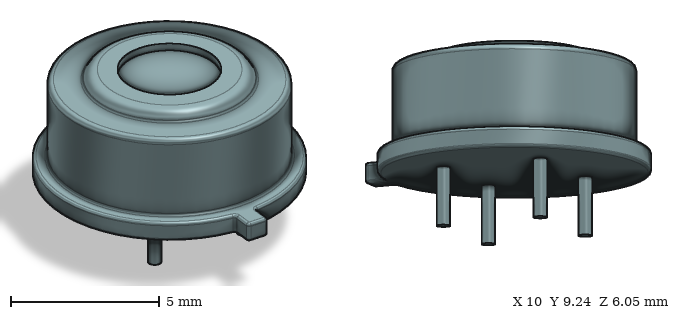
import cadquery as cq
import math

pin_length = 2.0
flange_thickness = 0.71
can_height = 2.95
cap_height = 0.39
flange_top = pin_length + flange_thickness
can_top = flange_top + can_height
cap_top = can_top + cap_height

flange_radius = 4.62
tab_width = 0.82
tab_reach = 10.0 - flange_radius
flange_edge_radius = 0.11
tab_root_radius = 0.1
tab_corner_radius = 0.12

can_radius = 4.12
can_top_radius = 0.2
can_base_radius = 0.09
cap_flat_radius = 2.44
cap_edge_radius = 0.5
cap_foot_radius = 0.09

window_radius = 1.75
window_depth = 0.27

pin_radius = 0.23
pin_offset = 1.8


def make_flange():
    """Round flange with a tab toward +X, rounded along both rims."""
    disc = cq.Workplane("XY").circle(flange_radius).extrude(flange_thickness)
    tab = (
        cq.Workplane("XY")
        .center(tab_reach / 2, 0)
        .rect(tab_reach, tab_width)
        .extrude(flange_thickness)
        .edges("|Z and >X")
        .fillet(tab_corner_radius)
    )
    tab_root_x = math.sqrt(flange_radius**2 - (tab_width / 2) ** 2)
    flange = disc.union(tab)
    for side in (-1, 1):
        root = cq.selectors.NearestToPointSelector(
            (tab_root_x, side * tab_width / 2, flange_thickness / 2)
        )
        flange = flange.edges("|Z").edges(root).fillet(tab_root_radius)
    flange = flange.faces("<Z or >Z").edges().fillet(flange_edge_radius)
    return flange.translate((0, 0, pin_length))


def make_can():
    """Revolved can: flared foot, rounded shoulder and raised, rounded cap."""
    edge_center_z = cap_top - cap_edge_radius
    foot_center_z = can_top + cap_foot_radius
    center_distance = cap_edge_radius + cap_foot_radius
    center_rise = foot_center_z - edge_center_z
    center_run = math.sqrt(center_distance**2 - center_rise**2)
    foot_outer_radius = cap_flat_radius + center_run
    meet_ratio = cap_edge_radius / center_distance
    meet_point = (
        cap_flat_radius + center_run * meet_ratio,
        edge_center_z + center_rise * meet_ratio,
    )
    return (
        cq.Workplane("XZ")
        .moveTo(0, pin_length + flange_thickness / 2)
        .lineTo(can_radius + can_base_radius, pin_length + flange_thickness / 2)
        .lineTo(can_radius + can_base_radius, flange_top)
        .radiusArc((can_radius, flange_top + can_base_radius), can_base_radius)
        .lineTo(can_radius, can_top - can_top_radius)
        .radiusArc((can_radius - can_top_radius, can_top), -can_top_radius)
        .lineTo(foot_outer_radius, can_top)
        .radiusArc(meet_point, cap_foot_radius)
        .radiusArc((cap_flat_radius, cap_top), -cap_edge_radius)
        .lineTo(0, cap_top)
        .close()
        .revolve(360, (0, 0, 0), (0, 1, 0))
    )


def make_window():
    """Shallow round recess sunk into the top of the cap."""
    return (
        cq.Workplane("XY")
        .workplane(offset=cap_top - window_depth)
        .circle(window_radius)
        .extrude(window_depth)
    )


def make_pins():
    """Four straight round pins below the flange."""
    return (
        cq.Workplane("XY")
        .rect(2 * pin_offset, 2 * pin_offset, forConstruction=True)
        .vertices()
        .circle(pin_radius)
        .extrude(pin_length + flange_thickness / 2)
    )


result = make_flange().union(make_can()).cut(make_window()).union(make_pins())